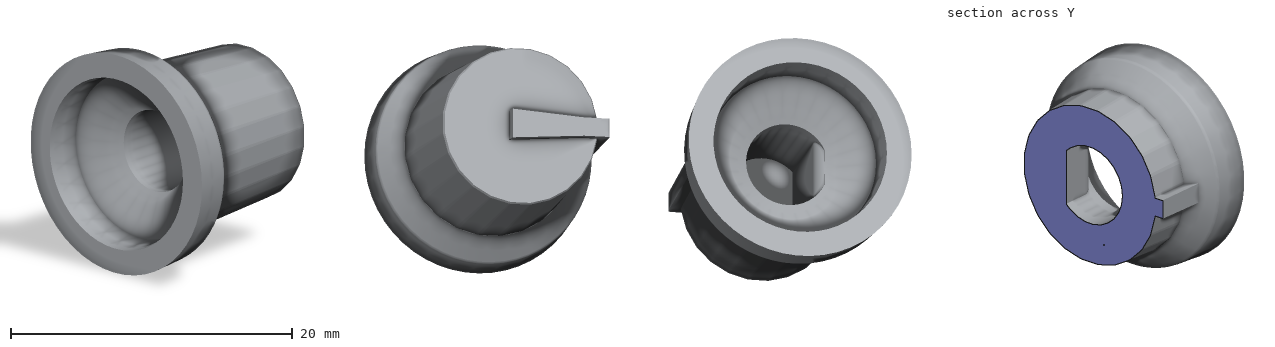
import cadquery as cq
import math


base_radius = 8.1
rim_radius = 7.87
rim_y = 2.64
rim_round = 0.38

grip_base_radius = 6.2
grip_base_y = 4.4
edge_radius = 5.66
crown_y = 13.9
crown_chamfer_height = 0.17
crown_chamfer_inset = 0.1
facet_count = 24
base_strip_width = 0.27
edge_strip_width = 0.1

opening_radius = 6.3
cavity_radius = 6.08
cavity_y = 2.56
bore_mouth_radius = 3.0
bore_mouth_y = 4.2
bore_floor_radius = 2.92
bore_floor_y = 12.0
flat_x = 2.12
lead_in_x = 2.71

pointer_foot_x = -6.92
pointer_foot_y = 3.0
pointer_tip_x = -6.35
pointer_tip_y = 14.67
pointer_corner_round = 0.2
pointer_foot_width = 1.5
pointer_tip_width = 1.32
pointer_head_width = 2.07
flare_start_x = -4.46
pointer_end_x = 0.8
pointer_end_y = 14.9
pointer_end_draft = 3.3


def plane_at(y):
    """Workplane square to the knob axis at height y."""
    return cq.Workplane("XZ", origin=(0, y, 0))


def turned(points):
    """Solid of revolution about the knob axis from (radius, y) points."""
    return cq.Workplane("XY").polyline(points).close().revolve(360, (0, 0, 0), (0, 1, 0))


def facet_circumradius(cone_radius, strip_width):
    """Corner radius of the polygon that leaves the given strip on the cone."""
    half_pitch = math.pi / facet_count
    half_facet = half_pitch - strip_width / (2 * cone_radius)
    return cone_radius * math.cos(half_facet) / math.cos(half_pitch)


def make_skirt():
    """Flared base with a rounded corner below the shoulder cone."""
    skirt = turned([
        (0, 0),
        (base_radius, 0),
        (rim_radius, rim_y),
        (grip_base_radius, grip_base_y),
        (0, grip_base_y),
    ])
    rim_edge = cq.selectors.BoxSelector(
        (-base_radius, rim_y - rim_round, -base_radius),
        (base_radius, rim_y + rim_round, base_radius),
        boundingbox=True,
    )
    return skirt.edges(rim_edge).fillet(rim_round)


def facet_frustum(lower_y, lower_circumradius, upper_y, upper_circumradius):
    """Tapered prism with one flat per facet, one of them facing -X."""
    return (
        plane_at(lower_y)
        .polygon(facet_count, 2 * lower_circumradius)
        .workplane(offset=lower_y - upper_y)
        .polygon(facet_count, 2 * upper_circumradius)
        .loft(ruled=True)
        .rotate((0, 0, 0), (0, 1, 0), 180 / facet_count)
    )


def make_grip():
    """Drafted cone with flat facets and a chamfered crown edge."""
    edge_y = crown_y - crown_chamfer_height
    top_radius = edge_radius - crown_chamfer_inset
    cone = turned([
        (0, grip_base_y),
        (grip_base_radius, grip_base_y),
        (edge_radius, edge_y),
        (top_radius, crown_y),
        (0, crown_y),
    ])
    base_corner = facet_circumradius(grip_base_radius, base_strip_width)
    edge_corner = facet_circumradius(edge_radius, edge_strip_width)
    top_corner = edge_corner - crown_chamfer_inset
    wall = facet_frustum(grip_base_y, base_corner, edge_y, edge_corner)
    cap = facet_frustum(edge_y, edge_corner, crown_y, top_corner)
    return cone.intersect(wall.union(cap))


def pointer_plan(workplane, outer_x, bar_width, end_x):
    """Bar that flares towards the knob centre."""
    half_bar = bar_width / 2
    half_head = pointer_head_width / 2
    return workplane.polyline([
        (outer_x, -half_bar),
        (flare_start_x, -half_bar),
        (end_x, -half_head),
        (end_x, half_head),
        (flare_start_x, half_bar),
        (outer_x, half_bar),
    ]).close()


def make_pointer():
    """Bar down the -X side that hooks over the crown towards the axis."""
    height = pointer_end_y - pointer_foot_y
    foot_end_x = pointer_end_x + height * math.tan(math.radians(pointer_end_draft))
    block_outer_x = -base_radius
    foot = pointer_plan(plane_at(pointer_foot_y), block_outer_x, pointer_foot_width, foot_end_x)
    block = pointer_plan(
        foot.workplane(offset=-height), block_outer_x, pointer_tip_width, pointer_end_x
    ).loft(ruled=True)
    side_profile = (
        cq.Workplane("XY")
        .polyline([
            (pointer_foot_x, pointer_foot_y),
            (pointer_tip_x, pointer_tip_y),
            (pointer_end_x, pointer_end_y),
            (foot_end_x, pointer_foot_y),
        ])
        .close()
        .extrude(pointer_head_width, both=True)
    )
    tip_corner = cq.selectors.NearestToPointSelector((pointer_tip_x, pointer_tip_y, 0))
    return block.intersect(side_profile.edges("|Z").edges(tip_corner).fillet(pointer_corner_round))


def make_cavity():
    """Space inside the skirt, its cone running on to the lead-in of the flat."""
    cone_slope = (bore_mouth_y - cavity_y) / (cavity_radius - bore_mouth_radius)
    lead_in_y = bore_mouth_y + (bore_mouth_radius - lead_in_x) * cone_slope
    cavity = turned([
        (0, 0),
        (opening_radius, 0),
        (cavity_radius, cavity_y),
        (lead_in_x, lead_in_y),
        (0, lead_in_y),
    ])
    bore = turned([
        (0, bore_mouth_y),
        (bore_mouth_radius, bore_mouth_y),
        (bore_floor_radius, bore_floor_y),
        (0, bore_floor_y),
    ])
    sweep = math.pi / 2 - math.atan(cone_slope)
    lead_in_round = (lead_in_x - flat_x) / (1 - math.cos(sweep))
    flat_start_y = lead_in_y + lead_in_round * math.sin(sweep)
    arc_middle = (
        flat_x + lead_in_round * (1 - math.cos(sweep / 2)),
        flat_start_y - lead_in_round * math.sin(sweep / 2),
    )
    flat_pad = (
        cq.Workplane("XY")
        .moveTo(flat_x, bore_floor_y)
        .lineTo(flat_x, flat_start_y)
        .threePointArc(arc_middle, (lead_in_x, lead_in_y))
        .lineTo(lead_in_x, bore_mouth_y)
        .lineTo(bore_mouth_radius, bore_mouth_y)
        .lineTo(bore_mouth_radius, bore_floor_y)
        .close()
        .extrude(bore_mouth_radius, both=True)
    )
    return cavity.union(bore.cut(flat_pad))


result = make_skirt().union(make_grip()).union(make_pointer()).cut(make_cavity())